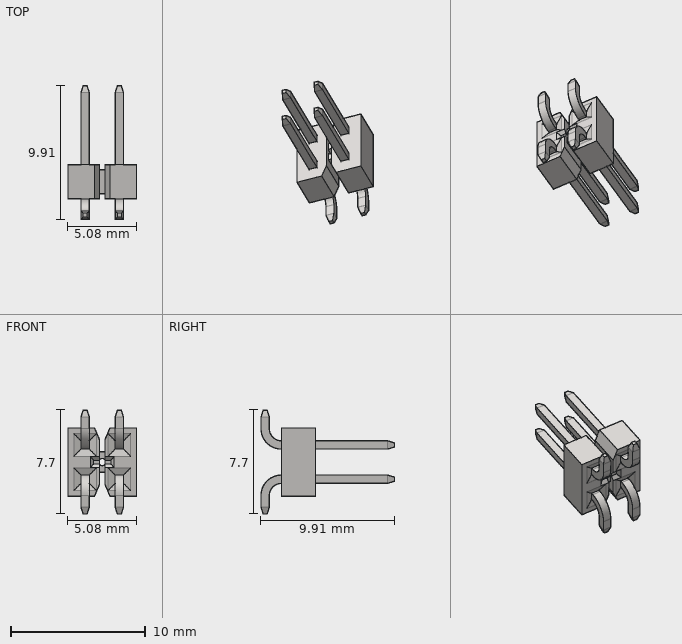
import cadquery as cq
import math

total_length = 9.91
pitch = 2.54
overall_height = 7.7

housing_width = 5.08
housing_height = housing_width
housing_depth = pitch
column_gap = 0.39
column_bevel_width = 0.38
column_bevel_height = 0.89
bridge_height = 1.54
bridge_inset = 0.38
bridge_hole_diameter = 0.52

recess_width = 1.76
recess_height = 0.82
recess_floor_width = 1.27
recess_floor_height = 0.27
recess_depth = 0.25

pin_size = 0.63
tip_length = 0.52
tip_size = 0.31
post_reach = 5.85
pocket_size = 1.67
pocket_depth = 0.17

tail_reach = total_length - housing_depth - post_reach
outer_bend_radius = tail_reach
inner_bend_radius = outer_bend_radius - pin_size
bridge_depth = housing_depth - 2 * bridge_inset
cut_overshoot = 0.1
half_way = math.sin(math.radians(45))

offsets = [-pitch / 2, pitch / 2]
pin_places = [(x, z) for x in offsets for z in offsets]


def frustum(plane, base_size, end_size, length):
    """Rectangular taper that rises from the origin of the plane along its normal."""
    return (
        cq.Workplane(plane)
        .rect(*base_size)
        .workplane(offset=length)
        .rect(*end_size)
        .loft(ruled=True)
    )


def rearward_plane(x, y, z):
    """Plane at (x, y, z) that faces +Y."""
    return cq.Plane(origin=(x, y, z), xDir=(1, 0, 0), normal=(0, 1, 0))


def square(size):
    return (size, size)


def make_column(side):
    """Housing half on one side (-1 or 1) of x = 0, bevelled at its inner top and bottom edges."""
    outer_x = side * housing_width / 2
    inner_x = side * column_gap / 2
    bevel_x = inner_x + side * column_bevel_width
    top_z = housing_height / 2
    bevel_z = top_z - column_bevel_height
    outline = [
        (outer_x, -top_z),
        (bevel_x, -top_z),
        (inner_x, -bevel_z),
        (inner_x, bevel_z),
        (bevel_x, top_z),
        (outer_x, top_z),
    ]
    return cq.Workplane("XZ").polyline(outline).close().extrude(-housing_depth)


def make_bridge():
    """Block across the gap between the columns, with a round hole through it along Y."""
    block = cq.Workplane("XY").box(column_gap, bridge_depth, bridge_height)
    hole = cq.Workplane("XZ").circle(bridge_hole_diameter / 2).extrude(bridge_depth, both=True)
    return block.cut(hole).translate((0, housing_depth / 2, 0))


def make_housing():
    body = make_column(-1).union(make_column(1))
    recess = frustum(
        rearward_plane(0, 0, 0),
        (recess_width, recess_height),
        (recess_floor_width, recess_floor_height),
        recess_depth,
    )
    body = body.cut(recess).union(make_bridge())
    for x, z in pin_places:
        pocket = frustum(rearward_plane(x, 0, z), square(pocket_size), square(pin_size), pocket_depth)
        passage = (
            cq.Workplane(rearward_plane(x, 0, z))
            .rect(pin_size, pin_size)
            .extrude(housing_depth + cut_overshoot)
        )
        body = body.cut(pocket).cut(passage)
    return body


def make_post(x, z):
    """Straight post from the pocket floor through the housing to a tapered tip."""
    shank_end = housing_depth + post_reach - tip_length
    shank = (
        cq.Workplane(rearward_plane(x, pocket_depth, z))
        .rect(pin_size, pin_size)
        .extrude(shank_end - pocket_depth)
    )
    tip = frustum(rearward_plane(x, shank_end, z), square(pin_size), square(tip_size), tip_length)
    return shank.union(tip)


def make_tail(x, z):
    """Tail from the pocket floor that bends away from z = 0 to a tapered tip."""
    away = 1 if z > 0 else -1
    inside_z = z + away * pin_size / 2
    outside_z = z - away * pin_size / 2
    bend_z = outside_z + away * outer_bend_radius
    shank_end = away * (overall_height / 2 - tip_length)
    leg = (
        cq.Workplane("YZ", origin=(x - pin_size / 2, 0, 0))
        .moveTo(pocket_depth, outside_z)
        .lineTo(0, outside_z)
        .threePointArc(
            (-outer_bend_radius * half_way, bend_z - away * outer_bend_radius * half_way),
            (-outer_bend_radius, bend_z),
        )
        .lineTo(-outer_bend_radius, shank_end)
        .lineTo(-inner_bend_radius, shank_end)
        .lineTo(-inner_bend_radius, bend_z)
        .threePointArc(
            (-inner_bend_radius * half_way, bend_z - away * inner_bend_radius * half_way),
            (0, inside_z),
        )
        .lineTo(pocket_depth, inside_z)
        .close()
        .extrude(pin_size)
    )
    tip_plane = cq.Plane(
        origin=(x, pin_size / 2 - outer_bend_radius, shank_end),
        xDir=(1, 0, 0),
        normal=(0, 0, away),
    )
    return leg.union(frustum(tip_plane, square(pin_size), square(tip_size), tip_length))


housing = make_housing()
posts = [make_post(x, z).val() for x, z in pin_places]
tails = [make_tail(x, z).val() for x, z in pin_places]

result = cq.Compound.makeCompound([housing.val(), *posts, *tails])